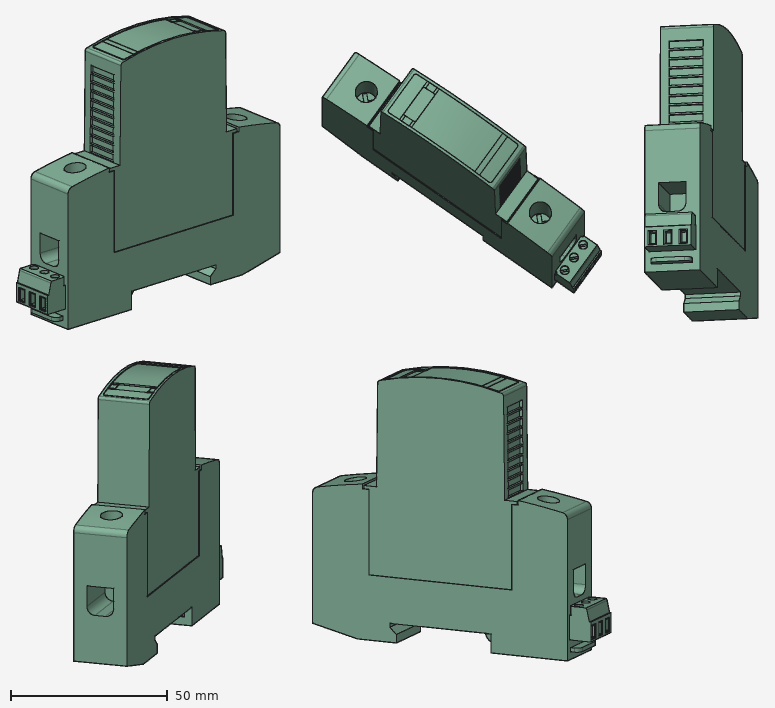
import cadquery as cq


body_width = 18.0
body_depth = 89.8
body_corner_height = 48.0
body_arc_rise = 4.5
body_corner_radius = 2.1
rear_face_bottom = 3.6
rear_ramp_end = 73.9

rail_front = 26.9
rail_back = 62.55
rail_lip = 60.2
rail_height = 6.2
rail_lip_height = 2.8
rail_ramp_top = 5.0

cartridge_width = 17.3
cartridge_center = 44.8
cartridge_bottom = 21.3
cartridge_foot_depth = 50.2
shoulder_depth = 54.0
shoulder_bottom = 49.2
shoulder_top = 50.3
tower_base_depth = 45.1
tower_top_depth = 44.4
tower_edge_height = 84.9
cartridge_height = 87.8
tower_corner_radius = 1.0
shoulder_gap = 0.4

panel_width = 15.4
panel_depth = 40.5
panel_center = 45.0
panel_sink = 0.3
panel_corner_radius = 0.8
window_center = 58.2
window_width = 11.1
window_depth = 4.7
window_corner_radius = 0.6
window_sink = 0.4
band_sink = 0.1
notch_depth = 2.9
notch_sink = 0.2
stripe_center = 30.2
stripe_depth = 1.8

louver_count = 10
louver_pitch = 3.0
louver_height = 2.4
louver_width = 11.1
louver_offset = -0.3
louver_top = 80.2
louver_sink = 1.0

screw_hole_diameter = 7.0
screw_hole_inset = 10.9
screw_head_height = 33.1
cross_slot_length = 6.6
cross_slot_width = 1.4
cross_slot_sink = 1.0
cable_width = 8.95
cable_bottom = 19.5
cable_top = 29.0
cable_pocket_depth = 17.5
cable_corner_radius = 2.7

connector_width = 15.2
connector_offset = 0.1
connector_bottom = 6.6
connector_top = 17.6
connector_reach = 7.5
connector_ledge_reach = 7.0
connector_ledge_height = 13.1
connector_bevel_reach = 6.1
connector_bevel_height = 17.0
connector_top_reach = 5.8
contact_pitch = 5.1
contact_width = 2.7
contact_height = 4.6
contact_center_height = 9.5
contact_rim = 0.4
contact_step = 0.4
contact_pocket = 2.9
clamp_screw_diameter = 2.8
clamp_screw_reach = 2.1
clamp_screw_sink = 1.0
clamp_slot_width = 0.6
rear_notch_width = 0.6
rear_notch_depth = 0.5
rear_notch_height = 2.9

latch_width = 13.1
latch_bottom = 2.5
latch_top = 3.9
latch_reach = 3.2
latch_corner_radius = 1.9
hook_tip = 30.0
hook_tip_height = 5.35
hook_top = 5.6
hook_bottom = 2.8
hook_mid = (29.2, 3.9)

overlap = 1.0


def block(x, y, z):
    """Box given by its (low, high) limits along X, Y and Z."""
    size = [high - low for low, high in (x, y, z)]
    return cq.Workplane("XY").box(*size, centered=False).translate((x[0], y[0], z[0]))


def centered(middle, length):
    return (middle - length / 2, middle + length / 2)


def side_plate(profile, width):
    """Extrude a closed YZ outline symmetrically about X = 0."""
    return profile.close().extrude(width / 2, both=True)


def mirrored_ends(shape):
    """The given front-end shape and its mirror image at the back end."""
    back = shape.mirror("XZ").translate((0, body_depth, 0))
    return shape.union(back)


def make_body():
    middle = body_depth / 2
    outline = (
        cq.Workplane("YZ")
        .moveTo(0, 0)
        .lineTo(0, body_corner_height)
        .threePointArc((middle, body_corner_height + body_arc_rise), (body_depth, body_corner_height))
        .lineTo(body_depth, rear_face_bottom)
        .lineTo(rear_ramp_end, 0)
        .lineTo(rail_lip, 0)
        .lineTo(rail_lip, rail_lip_height)
        .lineTo(rail_back, rail_ramp_top)
        .lineTo(rail_back, rail_height)
        .lineTo(rail_front, rail_height)
        .lineTo(rail_front, 0)
    )
    body = side_plate(outline, body_width)
    top_corners = cq.selectors.BoxSelector(
        (-overlap, -overlap, body_corner_height - overlap),
        (overlap, body_depth + overlap, body_corner_height + overlap),
    )
    return body.edges("|X").edges(top_corners).fillet(body_corner_radius)


def cartridge_bay():
    """Housing volume taken by the cartridge, its shoulders and the grooves beside them."""
    across = centered(0, body_width + overlap)
    foot_along = centered(cartridge_center, cartridge_foot_depth)
    foot = block(across, foot_along, (cartridge_bottom, cartridge_height))
    slot_depth = shoulder_depth + 2 * shoulder_gap
    slot = block(across, centered(cartridge_center, slot_depth), (shoulder_bottom, cartridge_height))
    return foot.union(slot)


def tower(width, top_sink):
    """Cartridge above the shoulders, with its domed top lowered by top_sink."""
    base_front, base_back = centered(cartridge_center, tower_base_depth)
    top_front, top_back = centered(cartridge_center, tower_top_depth)
    edge = tower_edge_height - top_sink
    outline = (
        cq.Workplane("YZ")
        .moveTo(base_front, shoulder_bottom)
        .lineTo(base_front, shoulder_top)
        .lineTo(top_front, edge)
        .threePointArc((cartridge_center, cartridge_height - top_sink), (top_back, edge))
        .lineTo(base_back, shoulder_top)
        .lineTo(base_back, shoulder_bottom)
    )
    return side_plate(outline, width)


def below_dome(center, width, depth, radius, sink):
    """Pocket under the dome with a rounded rectangular outline and a floor following the dome."""
    heights = (tower_edge_height - 2 * overlap, cartridge_height + overlap)
    pocket = block(centered(0, width), centered(center, depth), heights)
    if radius:
        pocket = pocket.edges("|Z").fillet(radius)
    return pocket.cut(tower(body_width, sink))


def make_cartridge():
    across = centered(0, cartridge_width)
    foot = block(across, centered(cartridge_center, cartridge_foot_depth), (cartridge_bottom, shoulder_top))
    shoulder = block(across, centered(cartridge_center, shoulder_depth), (shoulder_bottom, shoulder_top))
    top_corners = cq.selectors.BoxSelector(
        (-overlap, 0, tower_edge_height - overlap),
        (overlap, body_depth, tower_edge_height + overlap),
    )
    upper = tower(cartridge_width, 0).edges("|X").edges(top_corners).fillet(tower_corner_radius)
    return upper.union(foot).union(shoulder)


def label_panel():
    band_level = panel_sink + band_sink
    panel = below_dome(panel_center, panel_width, panel_depth, panel_corner_radius, panel_sink)
    band = below_dome(window_center, panel_width, window_depth, 0, band_level)
    notches = below_dome(window_center, panel_width, notch_depth, 0, band_level + notch_sink)
    window_level = band_level + window_sink
    window = below_dome(window_center, window_width, window_depth, window_corner_radius, window_level)
    stripe = below_dome(stripe_center, panel_width, stripe_depth, 0, band_level)
    return panel.union(band).union(notches).union(window).union(stripe)


def louvers():
    """Stack of vent recesses whose floors follow the draft of the cartridge front."""
    front = cartridge_center - tower_base_depth / 2
    core = tower(body_width, 0).translate((0, louver_sink, 0))
    slots = cq.Workplane("XY")
    for index in range(louver_count):
        top = louver_top - index * louver_pitch
        slots = slots.union(
            block(
                centered(louver_offset, louver_width),
                (front - overlap, front + 2 * louver_sink),
                (top - louver_height, top),
            )
        )
    return slots.cut(core)


def terminal():
    """Screw shaft with a cross-recessed head at its bottom, and the cable pocket below it."""
    shaft = (
        cq.Workplane("XY", origin=(0, screw_hole_inset, screw_head_height))
        .circle(screw_hole_diameter / 2)
        .extrude(cartridge_height - screw_head_height)
    )
    cross = cq.Workplane("XY")
    for angle in (-45, 45):
        bar = block(
            centered(0, cross_slot_length),
            centered(0, cross_slot_width),
            (screw_head_height - cross_slot_sink, screw_head_height),
        )
        cross = cross.union(bar.rotate((0, 0, 0), (0, 0, 1), angle))
    cross = cross.translate((0, screw_hole_inset, 0))
    pocket = block(centered(0, cable_width), (-overlap, cable_pocket_depth), (cable_bottom, cable_top))
    pocket = pocket.edges("|Y and <Z").fillet(cable_corner_radius)
    return shaft.union(cross).union(pocket)


def make_connector():
    outline = (
        cq.Workplane("YZ")
        .moveTo(overlap, connector_bottom)
        .lineTo(-connector_reach, connector_bottom)
        .lineTo(-connector_reach, connector_ledge_height)
        .lineTo(-connector_ledge_reach, connector_ledge_height)
        .lineTo(-connector_bevel_reach, connector_bevel_height)
        .lineTo(-connector_top_reach, connector_top)
        .lineTo(overlap, connector_top)
    )
    connector = side_plate(outline, connector_width)
    for side in (-1, 1):
        notch = block(
            centered(side * connector_width / 2, 2 * rear_notch_width),
            (-rear_notch_depth, 0),
            (connector_top - rear_notch_height, connector_top),
        )
        connector = connector.cut(notch)
    for index in (-1, 0, 1):
        connector = connector.cut(contact(index * contact_pitch))
    return connector


def contact(x):
    """One stepped wire opening and the slotted clamp screw above it."""
    height = centered(contact_center_height, contact_height)
    inner_height = centered(contact_center_height, contact_height - 2 * contact_rim)
    opening = block(
        centered(x, contact_width), (-connector_reach, contact_step - connector_reach), height
    )
    wire_hole = block(
        centered(x, contact_width - 2 * contact_rim),
        (-connector_reach, contact_pocket - connector_reach),
        inner_height,
    )
    screw_floor = connector_top - clamp_screw_sink
    screw = (
        cq.Workplane("XY", origin=(x, -clamp_screw_reach, screw_floor))
        .circle(clamp_screw_diameter / 2)
        .extrude(clamp_screw_sink)
    )
    slot = (
        cq.Workplane("XY", origin=(x, -clamp_screw_reach, screw_floor - clamp_slot_width))
        .transformed(rotate=(0, 0, -45))
        .rect(clamp_screw_diameter, clamp_slot_width)
        .extrude(clamp_slot_width)
    )
    return opening.union(wire_hole).union(screw).union(slot)


def make_latch():
    """Front pull tab and the hook that grips the rail."""
    tab = block(centered(0, latch_width), (-latch_reach, overlap), (latch_bottom, latch_top))
    tab = tab.edges("|Z and <Y").fillet(latch_corner_radius)
    hook = (
        cq.Workplane("YZ")
        .moveTo(rail_front - overlap, hook_bottom)
        .lineTo(rail_front, hook_bottom)
        .threePointArc(hook_mid, (hook_tip, hook_tip_height))
        .lineTo(rail_front, hook_top)
        .lineTo(rail_front - overlap, hook_top)
    )
    return tab.union(side_plate(hook, latch_width))


body = make_body().cut(cartridge_bay())
body = body.union(make_cartridge())
body = body.cut(label_panel()).cut(louvers()).cut(mirrored_ends(terminal()))
connector = make_connector().translate((connector_offset, 0, 0))
result = body.union(connector).union(make_latch())